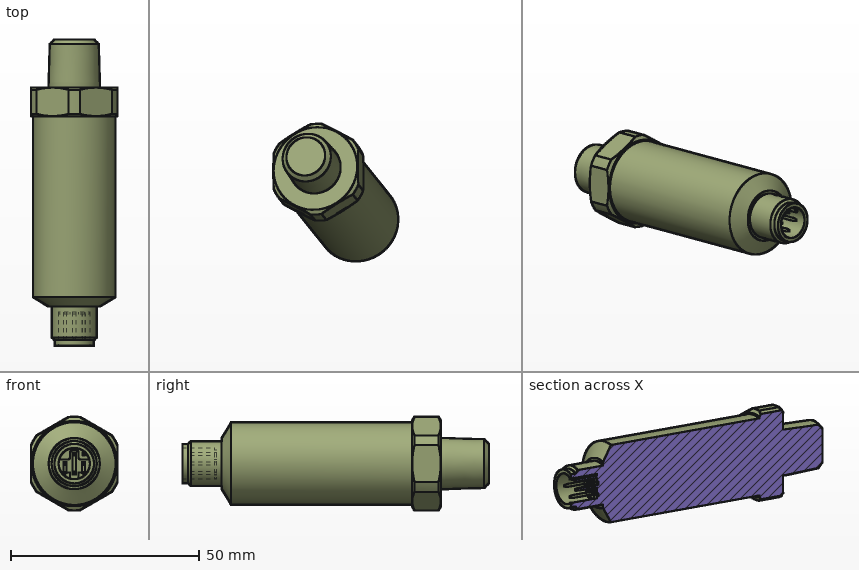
import cadquery as cq
import math

length = 81.5
tip_collar_end = 1.5
cone_start = 10.4
body_start = 12.95
hex_start = 61.0
hex_end = 68.75
taper_start = 69.9

tip_collar_diameter = 10.5
plug_diameter = 12.0
cone_small_diameter = 13.6
body_diameter = 22.0
thread_diameter = 13.72
taper_end_diameter = 13.1
thread_chamfer = 1.3

hex_sides = 6
hex_half_sector = 180 / hex_sides
hex_across_flats = 23.0
hex_corner_diameter = 25.0
hex_face_diameter = 22.7
hex_chamfer_angle = 30.0

bore_diameter = 8.3
bore_depth = 9.0
relief_height = 0.5
key_diameter = 0.8
key_angle = 45.0
key_offset = 3.6

pin_diameter = 0.8
pin_tip_diameter = 0.4
pin_tip_length = 1.0
pin_tip_station = 1.5
pin_count = 4
pin_circle_radius = 2.5
strip_width = pin_diameter
centre_strip_length = 2 * pin_circle_radius + pin_diameter
side_strip_top = pin_diameter / 2
side_strip_bottom = -2.2

pad_gap = 2.2
upper_pad_edge = 1.1
arch_top = 3.6
lower_pad_edge = -2.35
lower_pad_width = 1.9
pad_corner_radius = 0.6
lower_pad_radius = 1.5


def box(x_min, x_max, y_min, y_max, z_min, z_max):
    """Block between the given limits."""
    return cq.Workplane("XY").box(
        x_max - x_min, y_max - y_min, z_max - z_min, centered=False
    ).translate((x_min, y_min, z_min))


def rod(diameter, y_min, y_max, x=0.0, z=0.0):
    """Round rod along Y, centred at (x, z)."""
    return cq.Workplane("XZ", origin=(x, y_min, z)).circle(diameter / 2).extrude(y_min - y_max)


def turned(points):
    """Solid of revolution about Y from (radius, station) points."""
    return cq.Workplane("XY").polyline(points).close().revolve(360, (0, 0, 0), (0, 1, 0))


def make_housing():
    """Plug end, cone, cylindrical body and tapered thread as one turned solid."""
    tip_chamfer = (plug_diameter - tip_collar_diameter) / 2
    return turned([
        (0, 0),
        (tip_collar_diameter / 2, 0),
        (tip_collar_diameter / 2, tip_collar_end),
        (plug_diameter / 2, tip_collar_end + tip_chamfer),
        (plug_diameter / 2, cone_start),
        (cone_small_diameter / 2, cone_start),
        (body_diameter / 2, body_start),
        (body_diameter / 2, hex_start),
        (thread_diameter / 2, hex_end),
        (thread_diameter / 2, taper_start),
        (taper_end_diameter / 2, length - thread_chamfer),
        (taper_end_diameter / 2 - thread_chamfer, length),
        (0, length),
    ])


def make_hexagon():
    """Hexagon with two corners on the Z axis, rounded and chamfered by a turned envelope."""
    corner_radius = hex_corner_diameter / 2
    face_radius = hex_face_diameter / 2
    chamfer = (corner_radius - face_radius) * math.tan(math.radians(hex_chamfer_angle))
    envelope = turned([
        (0, hex_start),
        (face_radius, hex_start),
        (corner_radius, hex_start + chamfer),
        (corner_radius, hex_end - chamfer),
        (face_radius, hex_end),
        (0, hex_end),
    ])
    prism = (
        cq.Workplane("XZ", origin=(0, hex_start, 0))
        .polygon(hex_sides, hex_across_flats / math.cos(math.radians(hex_half_sector)))
        .extrude(hex_start - hex_end)
        .rotate((0, 0, 0), (0, 1, 0), hex_half_sector)
    )
    return prism.intersect(envelope)


def make_floor_pads():
    """Pads raised from the socket floor, trimmed to the bore: an upper arch and two lower corners."""
    pad_start = bore_depth - relief_height
    half_gap = pad_gap / 2
    reach = bore_diameter / 2
    arch = box(-bore_diameter, bore_diameter, pad_start, bore_depth, upper_pad_edge, bore_diameter)
    arch = arch.cut(box(-half_gap, half_gap, pad_start, bore_depth, upper_pad_edge, arch_top))
    arch = arch.edges("|Y").fillet(pad_corner_radius)
    lower = box(half_gap, half_gap + lower_pad_width, pad_start, bore_depth, -reach, lower_pad_edge)
    lower = lower.edges("|Y and >X and >Z").fillet(lower_pad_radius)
    pads = arch.union(lower).union(lower.mirror("YZ"))
    return pads.intersect(rod(bore_diameter, pad_start, bore_depth))


def make_strips():
    """Contact strips standing on the socket floor: one at the centre, one on each side."""
    strip_start = bore_depth - relief_height
    half_width = strip_width / 2
    half_length = centre_strip_length / 2
    strips = box(-half_width, half_width, strip_start, bore_depth, -half_length, half_length)
    for x in (-pin_circle_radius, pin_circle_radius):
        strips = strips.union(
            box(x - half_width, x + half_width, strip_start, bore_depth, side_strip_bottom, side_strip_top)
        )
    return strips


def make_pins():
    """Pins with conical tips, evenly spaced on the pin circle."""
    pin = turned([
        (0, pin_tip_station),
        (pin_tip_diameter / 2, pin_tip_station),
        (pin_diameter / 2, pin_tip_station + pin_tip_length),
        (pin_diameter / 2, bore_depth),
        (0, bore_depth),
    ]).translate((pin_circle_radius, 0, 0))
    pins = pin
    for index in range(1, pin_count):
        pins = pins.union(pin.rotate((0, 0, 0), (0, 1, 0), index * 360 / pin_count))
    return pins


def make_key():
    """Round coding rib along the socket wall."""
    key_x = key_offset * math.cos(math.radians(key_angle))
    key_z = key_offset * math.sin(math.radians(key_angle))
    return rod(key_diameter, tip_collar_end, bore_depth, key_x, key_z)


result = make_housing().union(make_hexagon())
result = result.cut(rod(bore_diameter, 0, bore_depth))
for insert in (make_floor_pads(), make_strips(), make_pins(), make_key()):
    result = result.union(insert)